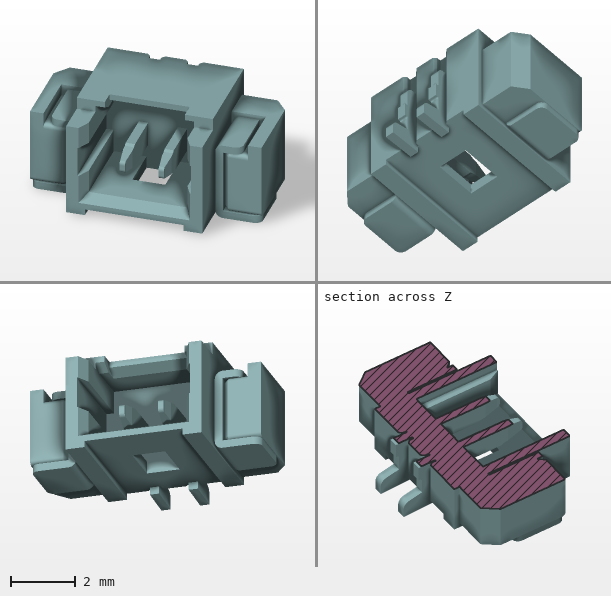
import cadquery as cq


housing_half_width = 2.205
housing_depth = 4.32
housing_bottom = 0.09
housing_top = 3.58
front_step_depth = 1.11
front_step_height = 3.18
underside_half_width = 1.6
floor_underside = 0.29

cavity_half_width = 1.6
cavity_floor = 0.7
cavity_ceiling = 3.18
cavity_depth = 3
lead_in_rise = 0.2
lead_in_depth = 0.405
side_groove_half_width = 1.84
side_groove_bottom = 1.46
side_groove_top = 2.46
roof_notch_half_width = 1.3
roof_notch_depth = 1.605
floor_window_half_width = 0.53
floor_window_front = 1.52

contact_pitch = 1.26
contact_width = 0.3
blade_bottom = 1.13
blade_top = 1.92
blade_shoulder = 0.05
shoulder_start = 1.62
shoulder_end = 1.52
width_taper_start = 1.35
width_taper_end = 0.88
tip_front = 0.77
tip_width = 0.18
tip_bottom = 1.34
tip_top = 1.71
tip_radius = 0.135
tail_front = 4.08
tail_rear = 4.57
tail_top = 2.625
tail_bend_radius = 0.25
tail_lug_rear = 4.69
tail_lug_bottom = 1.26
tail_lug_top = 1.78
lug_fillet = 0.05
foot_rear = 5.25
foot_heel_height = 0.05
foot_root_height = 0.69
foot_slope_end = 5.05
foot_slope_end_height = 0.58
foot_bend_mid = (5.2, 0.48)
foot_toe_height = 0.315

slot_offset = 0.615
slot_width = 0.37
slot_mouth_chamfer = 0.1

wing_half_span = 3.75
wing_front = 1.21
wing_rear = 4.125
wing_bottom = 0.27
wing_top = 2.76
wing_corner_x = 0.38
wing_corner_y = 0.49
wing_block_fillet = 0.15
wing_block_chamfer_width = 0.165
wing_block_chamfer_depth = 0.2
wing_pocket_outer = 3.315

clip_inner = 2.25
clip_thickness = 0.25
clip_rear = 3.06
clip_bend_radius = 0.25
clip_top_arm_end = 3.105
clip_bottom_arm_end = 3.73
clip_corner_radius = 0.25

clip_block_side = clip_inner + clip_thickness
clip_bottom = wing_bottom - clip_thickness
clip_arm_underside = 2.37
clip_top = clip_arm_underside + clip_thickness


def box(x0, x1, y0, y1, z0, z1):
    """Axis-aligned block between two opposite corners."""
    return cq.Workplane("XY").box(x1 - x0, y1 - y0, z1 - z0, centered=False).translate((x0, y0, z0))


def centred_box(half_width, y0, y1, z0, z1):
    """Block symmetric about the middle plane X = 0."""
    return box(-half_width, half_width, y0, y1, z0, z1)


def both_sides(shape):
    """The shape together with its mirror image across X = 0."""
    return shape.union(shape.mirror("YZ"))


def side_profile(points, half_width):
    """Extrude a closed (Y, Z) outline symmetrically along X."""
    return cq.Workplane("YZ").polyline(points).close().extrude(half_width, both=True)


def ceiling_lead_in(half_width, front):
    """Wedge that opens the ceiling upward towards the given front edge."""
    return side_profile(
        [
            (front, cavity_ceiling),
            (front, cavity_ceiling + lead_in_rise),
            (front + lead_in_depth, cavity_ceiling),
        ],
        half_width,
    )


def cavity():
    """Everything removed from the front of the housing."""
    mouth_half_width = cavity_half_width + lead_in_rise
    mouth_floor = cavity_floor - lead_in_rise
    main = centred_box(cavity_half_width, 0, cavity_depth, cavity_floor, cavity_ceiling)
    grooves = centred_box(side_groove_half_width, 0, cavity_depth, side_groove_bottom, side_groove_top)
    wide_mouth = (
        cq.Workplane("XY")
        .polyline(
            [
                (-mouth_half_width, 0),
                (mouth_half_width, 0),
                (cavity_half_width, lead_in_depth),
                (-cavity_half_width, lead_in_depth),
            ]
        )
        .close()
        .extrude(cavity_ceiling)
    )
    deep_mouth = side_profile(
        [
            (0, mouth_floor),
            (lead_in_depth, cavity_floor),
            (lead_in_depth, cavity_ceiling),
            (0, cavity_ceiling),
        ],
        mouth_half_width,
    )
    roof_notch = centred_box(roof_notch_half_width, 0, roof_notch_depth, cavity_ceiling, housing_top)
    floor_window = centred_box(floor_window_half_width, floor_window_front, cavity_depth, 0, cavity_floor)
    return (
        main.union(grooves)
        .union(wide_mouth.intersect(deep_mouth))
        .union(ceiling_lead_in(cavity_half_width, front_step_depth))
        .union(ceiling_lead_in(roof_notch_half_width, roof_notch_depth))
        .union(roof_notch)
        .union(floor_window)
    )


def rear_slot():
    """Full-height slot with a flared mouth for one contact tail."""
    half = slot_width / 2
    flare = half + slot_mouth_chamfer
    throat = housing_depth - slot_mouth_chamfer
    return (
        cq.Workplane("XY")
        .polyline(
            [
                (-half, tail_front),
                (half, tail_front),
                (half, throat),
                (flare, housing_depth),
                (-flare, housing_depth),
                (-half, throat),
            ]
        )
        .close()
        .extrude(housing_top)
        .translate((slot_offset, 0, 0))
    )


def housing():
    body = centred_box(housing_half_width, 0, housing_depth, housing_bottom, housing_top)
    front_step = centred_box(housing_half_width, 0, front_step_depth, front_step_height, housing_top)
    underside = centred_box(underside_half_width, 0, housing_depth, housing_bottom, floor_underside)
    return body.cut(front_step).cut(underside).cut(cavity()).cut(both_sides(rear_slot()))


def wing():
    """Right-hand wing: rear wall, outer wall and the block held by the clip."""
    outline = (
        cq.Workplane("XY")
        .polyline(
            [
                (housing_half_width, clip_rear),
                (wing_pocket_outer, clip_rear),
                (wing_pocket_outer, wing_front),
                (wing_half_span, wing_front),
                (wing_half_span, wing_rear - wing_corner_y),
                (wing_half_span - wing_corner_x, wing_rear),
                (housing_half_width, wing_rear),
            ]
        )
        .close()
        .extrude(wing_top - wing_bottom)
        .translate((0, 0, wing_bottom))
    )
    block = box(clip_block_side, wing_half_span, wing_front, clip_rear, wing_bottom, clip_arm_underside)
    chamfer_wedge = (
        cq.Workplane("XY")
        .polyline(
            [
                (clip_block_side, wing_front),
                (clip_block_side + wing_block_chamfer_width, wing_front),
                (clip_block_side, wing_front + wing_block_chamfer_depth),
            ]
        )
        .close()
        .extrude(wing_top)
    )
    block = block.cut(chamfer_wedge)
    front_faces = block.faces("<Y or (not(|X or |Y or |Z))")
    block = front_faces.edges("<Z or >Z").fillet(wing_block_fillet)
    rounded_edge_space = box(
        wing_pocket_outer,
        wing_half_span,
        wing_front,
        wing_front + wing_block_fillet,
        wing_bottom,
        wing_bottom + wing_block_fillet,
    )
    return outline.cut(rounded_edge_space).union(block)


def clip():
    """Right-hand solder clip: a C-shaped strip with rounded arm corners."""
    top_arm = box(clip_inner, clip_top_arm_end, wing_front, clip_rear, clip_arm_underside, clip_top)
    top_arm = top_arm.edges("|Z and >X and <Y").fillet(clip_corner_radius)
    bottom_arm = box(clip_inner, clip_bottom_arm_end, wing_front, clip_rear, clip_bottom, wing_bottom)
    bottom_arm = bottom_arm.edges("|Z and >X").fillet(clip_corner_radius)
    web = box(clip_inner, clip_block_side, wing_front, clip_rear, clip_bottom, clip_top)
    return web.union(top_arm).union(bottom_arm).edges("|Y and <X").fillet(clip_bend_radius)


def blade():
    """Mating blade, tapered in height and in width towards its rounded tip."""
    profile = side_profile(
        [
            (tail_front, blade_bottom),
            (tail_front, blade_top),
            (shoulder_start, blade_top),
            (shoulder_end, blade_top - blade_shoulder),
            (tip_front, tip_top),
            (tip_front, tip_bottom),
            (shoulder_end, blade_bottom + blade_shoulder),
            (shoulder_start, blade_bottom),
        ],
        contact_width / 2,
    )
    profile = profile.faces("<Y").edges("|X").fillet(tip_radius)
    plan = (
        cq.Workplane("XY")
        .polyline(
            [
                (contact_width / 2, tail_front),
                (contact_width / 2, width_taper_start),
                (tip_width / 2, width_taper_end),
                (tip_width / 2, tip_front),
                (-tip_width / 2, tip_front),
                (-tip_width / 2, width_taper_end),
                (-contact_width / 2, width_taper_start),
                (-contact_width / 2, tail_front),
            ]
        )
        .close()
        .extrude(housing_top)
    )
    return profile.intersect(plan)


def tail():
    """Vertical leg behind the housing with its locating lug and solder foot."""
    leg = (
        cq.Workplane("YZ")
        .moveTo(tail_front, foot_heel_height)
        .lineTo(tail_front, tail_top)
        .lineTo(tail_rear - tail_bend_radius, tail_top)
        .radiusArc((tail_rear, tail_top - tail_bend_radius), tail_bend_radius)
        .lineTo(tail_rear, tail_lug_top + lug_fillet)
        .radiusArc((tail_rear + lug_fillet, tail_lug_top), -lug_fillet)
        .lineTo(tail_lug_rear, tail_lug_top)
        .lineTo(tail_lug_rear, tail_lug_bottom)
        .lineTo(tail_rear + lug_fillet, tail_lug_bottom)
        .radiusArc((tail_rear, tail_lug_bottom - lug_fillet), -lug_fillet)
        .lineTo(tail_rear, foot_root_height)
        .lineTo(foot_slope_end, foot_slope_end_height)
        .threePointArc(foot_bend_mid, (foot_rear, foot_toe_height))
        .lineTo(foot_rear, 0)
        .close()
    )
    return leg.extrude(contact_width / 2, both=True)


contact = blade().union(tail()).translate((contact_pitch / 2, 0, 0))

result = (
    housing()
    .union(both_sides(wing()))
    .union(both_sides(clip()))
    .union(both_sides(contact))
)